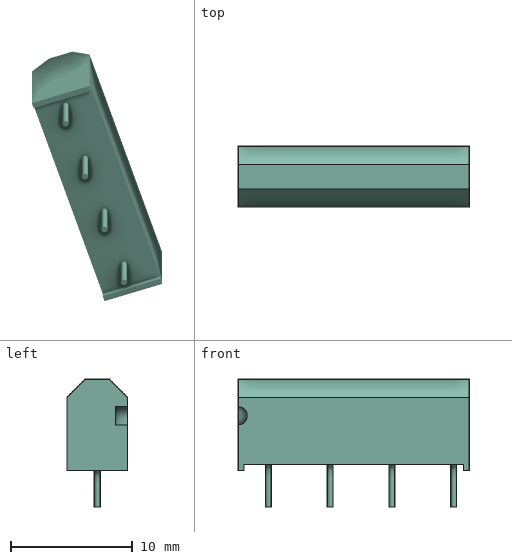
import cadquery as cq

length = 19.0
width = 5.0
body_height = 7.5
bevel = 1.5

foot_size = 0.5

notch_radius = 0.75
notch_depth = 1.0
notch_drop = 3.0

pin_count = 4
pin_diameter = 0.5
pin_pitch = 5.07
first_pin_inset = 2.49
pin_reach = 3.0

left = -length / 2
front = -width / 2


def make_housing():
    block = cq.Workplane("XY").box(length, width, body_height, centered=(True, True, False))
    return block.faces(">Z").edges("|X").chamfer(bevel)


def make_underside_recess():
    return cq.Workplane("XY").box(
        length - 2 * foot_size, width, foot_size, centered=(True, True, False)
    )


def make_notch():
    notch_z = body_height - notch_drop
    plane = cq.Workplane("XZ", origin=(left, front, notch_z))
    return plane.circle(notch_radius).extrude(-notch_depth)


def make_pins():
    first_pin_x = left + first_pin_inset
    centers = [(first_pin_x + i * pin_pitch, 0) for i in range(pin_count)]
    plane = cq.Workplane("XY").workplane(offset=-pin_reach)
    return plane.pushPoints(centers).circle(pin_diameter / 2).extrude(pin_reach + foot_size)


housing = make_housing().cut(make_underside_recess()).cut(make_notch())
result = housing.union(make_pins())